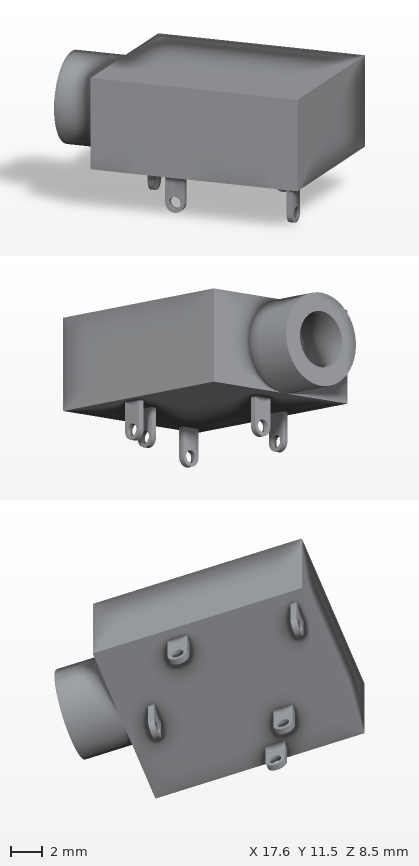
import cadquery as cq


TOTAL_LENGTH = 17.6
CASE_WIDTH = 11.5
TOTAL_HEIGHT = 8.5

BARREL_LENGTH = 3.5
BARREL_DIAMETER = 6.0
BORE_DIAMETER = 3.6

CASE_LENGTH = TOTAL_LENGTH - BARREL_LENGTH
CASE_HEIGHT = BARREL_DIAMETER
CASE_CENTER_Y = 0.25
LID_THICKNESS = 1.0
HOUSING_HEIGHT = CASE_HEIGHT - LID_THICKNESS
CASE_BOTTOM_Z = -CASE_HEIGHT / 2
LID_BOTTOM_Z = CASE_BOTTOM_Z + HOUSING_HEIGHT

TERMINAL_LENGTH = TOTAL_HEIGHT - CASE_HEIGHT
TERMINAL_WIDTH = 1.3
TERMINAL_THICKNESS = 0.4
TERMINAL_HOLE_DIAMETER = 0.81

TERMINAL_PLACES = [
    (2.15, 0, 90),
    (5.42, -4.52, 0),
    (8.52, 5.0, 0),
    (9.9, 2.64, 0),
    (13.22, -4.0, 90),
]


def make_case_slab(bottom_z, height):
    """Rectangular block with the case's length and width."""
    return (
        cq.Workplane("XY", origin=(CASE_LENGTH / 2, CASE_CENTER_Y, bottom_z))
        .box(CASE_LENGTH, CASE_WIDTH, height, centered=(True, True, False))
    )


def make_barrel():
    """Sleeve standing against the front face of the case, bored right through."""
    return (
        cq.Workplane("YZ", origin=(-BARREL_LENGTH, 0, 0))
        .circle(BARREL_DIAMETER / 2)
        .circle(BORE_DIAMETER / 2)
        .extrude(BARREL_LENGTH)
    )


def make_terminal(center_x, center_y, turn):
    """Tab hanging from the underside of the housing, with a hole at its round end."""
    half_width = TERMINAL_WIDTH / 2
    hole_z = half_width - TERMINAL_LENGTH
    tab = (
        cq.Workplane("XZ")
        .moveTo(-half_width, 0)
        .lineTo(-half_width, hole_z)
        .threePointArc((0, -TERMINAL_LENGTH), (half_width, hole_z))
        .lineTo(half_width, 0)
        .close()
        .extrude(TERMINAL_THICKNESS / 2, both=True)
    )
    hole = (
        cq.Workplane("XZ")
        .center(0, hole_z)
        .circle(TERMINAL_HOLE_DIAMETER / 2)
        .extrude(TERMINAL_THICKNESS, both=True)
    )
    return (
        tab.cut(hole)
        .rotate((0, 0, 0), (0, 0, 1), turn)
        .translate((center_x, center_y, CASE_BOTTOM_Z))
    )


housing = make_case_slab(CASE_BOTTOM_Z, HOUSING_HEIGHT)
lid = make_case_slab(LID_BOTTOM_Z, LID_THICKNESS)
barrel = make_barrel()

terminals = []
for center_x, center_y, turn in TERMINAL_PLACES:
    terminals.append(make_terminal(center_x, center_y, turn).val())

result = cq.Compound.makeCompound([housing.val(), lid.val(), barrel.val(), *terminals])